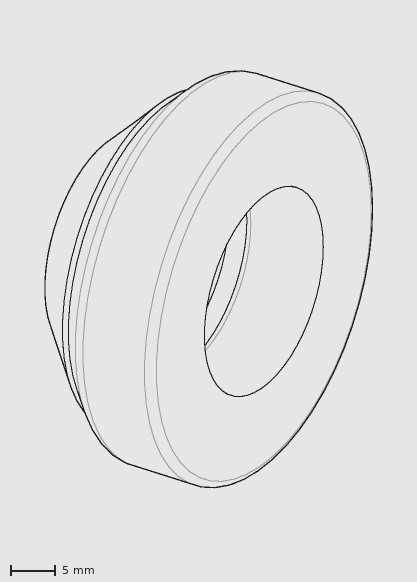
import cadquery as cq
import math

total_length = 21.2
outer_radius = 23.25
bore_radius = 12.3
nose_end = -total_length / 2
rear_end = total_length / 2

seat_x = -0.15
seat_radius = 20.0
base_edge_radius = 0.98
seat_bore_radius = bore_radius + base_edge_radius
nose_edge_length = 2.0
nose_edge_radius = (nose_edge_length**2 + base_edge_radius**2) / (2 * base_edge_radius)
land_length = 0.8

nose_round = 0.35
shoulder_round = 2.0
rear_round = 0.98

shoulder_start = -2.75
cos_45 = math.cos(math.pi / 4)


def revolve_about_x(profile):
    """Turn a closed (x, radius) profile into a ring about the X axis."""
    return profile.close().revolve(360, (0, 0, 0), (1, 0, 0))


def make_nose_ring():
    """Conical ring with a rounded tip and a cylindrical rim that sits in the base ring."""
    tip_center_x = nose_end + nose_round
    tip_center_radius = bore_radius + nose_round
    tip_cone_x = tip_center_x - nose_round * cos_45
    tip_cone_radius = tip_center_radius + nose_round * cos_45
    cone_end_x = shoulder_start - land_length
    return revolve_about_x(
        cq.Workplane("XY")
        .moveTo(tip_center_x, bore_radius)
        .threePointArc((nose_end, tip_center_radius), (tip_cone_x, tip_cone_radius))
        .lineTo(cone_end_x, seat_radius)
        .lineTo(seat_x, seat_radius)
        .lineTo(seat_x, seat_bore_radius)
        .radiusArc((seat_x - nose_edge_length, bore_radius), -nose_edge_radius)
    )


def make_base_ring():
    """Outer ring with a 45 degree shoulder and a recess for the nose ring."""
    shoulder_cone_radius = outer_radius - shoulder_round * (1 - cos_45)
    shoulder_cone_x = shoulder_start + shoulder_cone_radius - seat_radius
    shoulder_end_x = shoulder_cone_x + shoulder_round * cos_45
    return revolve_about_x(
        cq.Workplane("XY")
        .moveTo(shoulder_start, seat_radius)
        .lineTo(shoulder_cone_x, shoulder_cone_radius)
        .radiusArc((shoulder_end_x, outer_radius), shoulder_round)
        .lineTo(rear_end - rear_round, outer_radius)
        .radiusArc((rear_end, outer_radius - rear_round), rear_round)
        .lineTo(rear_end, bore_radius)
        .lineTo(seat_x + base_edge_radius, bore_radius)
        .radiusArc((seat_x, seat_bore_radius), base_edge_radius)
        .lineTo(seat_x, seat_radius)
    )


nose_ring = make_nose_ring()
base_ring = make_base_ring()

result = cq.Compound.makeCompound([nose_ring.val(), base_ring.val()])